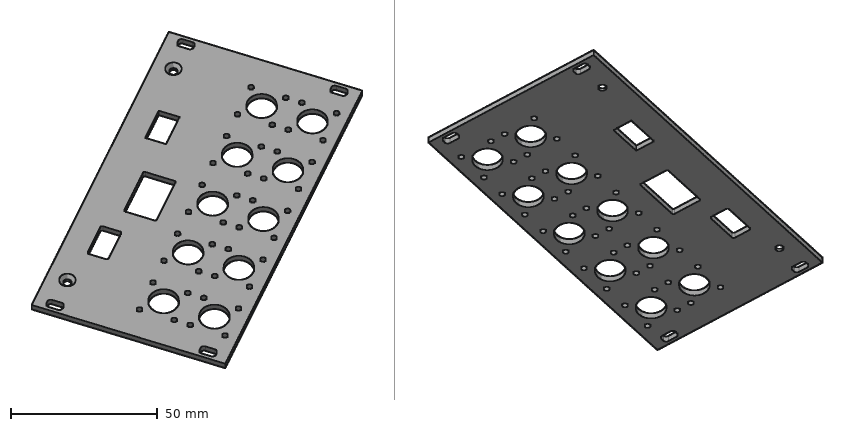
import cadquery as cq

plate_width = 70.78
plate_height = 128.4
plate_thickness = 2.5

slot_pitch_x = 56.0
slot_edge_distance = 2.95
slot_length = 5.9
slot_width = 3.3
slot_corner_radius = 1.2

screw_diameter = 2.9
screw_head_diameter = 5.6
screw_head_angle = 90
screw_spacing_y = 99.3

connector_diameter = 10.5
connector_columns = 2
connector_rows = 5
connector_pitch_x = 18.55
connector_pitch_y = 22.94
connector_grid_x = 15.17
connector_grid_y = -0.45
fixing_diameter = 2.01
fixing_spacing = 12.7

small_window_x = -22.2
small_window_width = 7.6
upper_window_y = 24.4
upper_window_height = 12.7
lower_window_y = -29.8
lower_window_height = 13.0
lower_window_radius = 0.7
large_window_x = -15.2
large_window_y = -5.2
large_window_width = 11.8
large_window_height = 18.6
large_window_radius = 0.5


def grid_points(pitch_x, pitch_y, columns, rows, center=(0, 0)):
    """Points of a rectangular grid centred on the given point."""
    points = []
    for column in range(columns):
        for row in range(rows):
            x = center[0] + (column - (columns - 1) / 2) * pitch_x
            y = center[1] + (row - (rows - 1) / 2) * pitch_y
            points.append((x, y))
    return points


def window(x, y, width, height, corner_radius=0):
    """Cutter through the plate: a rectangle with optional rounded corners."""
    cutter = cq.Workplane("XY").center(x, y).rect(width, height).extrude(plate_thickness)
    if corner_radius > 0:
        cutter = cutter.edges("|Z").fillet(corner_radius)
    return cutter


def round_holes(points, diameter):
    """Cutter for equal through holes at the given points."""
    return cq.Workplane("XY").pushPoints(points).circle(diameter / 2).extrude(plate_thickness)


def cut_mounting_slots(plate):
    slot_pitch_y = plate_height - 2 * slot_edge_distance
    for x, y in grid_points(slot_pitch_x, slot_pitch_y, 2, 2):
        plate = plate.cut(window(x, y, slot_length, slot_width, slot_corner_radius))
    return plate


def cut_screw_holes(plate):
    points = grid_points(0, screw_spacing_y, 1, 2, (-slot_pitch_x / 2, 0))
    top = plate.faces(">Z").workplane(origin=(0, 0, plate_thickness))
    return top.pushPoints(points).cskHole(screw_diameter, screw_head_diameter, screw_head_angle)


def cut_connectors(plate):
    grid_center = (connector_grid_x, connector_grid_y)
    centers = grid_points(
        connector_pitch_x, connector_pitch_y, connector_columns, connector_rows, grid_center
    )
    plate = plate.cut(round_holes(centers, connector_diameter))
    for center in centers:
        fixings = grid_points(fixing_spacing, fixing_spacing, 2, 2, center)
        plate = plate.cut(round_holes(fixings, fixing_diameter))
    return plate


def cut_windows(plate):
    upper = window(small_window_x, upper_window_y, small_window_width, upper_window_height)
    lower = window(
        small_window_x, lower_window_y, small_window_width, lower_window_height, lower_window_radius
    )
    large = window(
        large_window_x, large_window_y, large_window_width, large_window_height, large_window_radius
    )
    return plate.cut(upper).cut(lower).cut(large)


result = cq.Workplane("XY").box(
    plate_width, plate_height, plate_thickness, centered=(True, True, False)
)
result = cut_mounting_slots(result)
result = cut_screw_holes(result)
result = cut_connectors(result)
result = cut_windows(result)